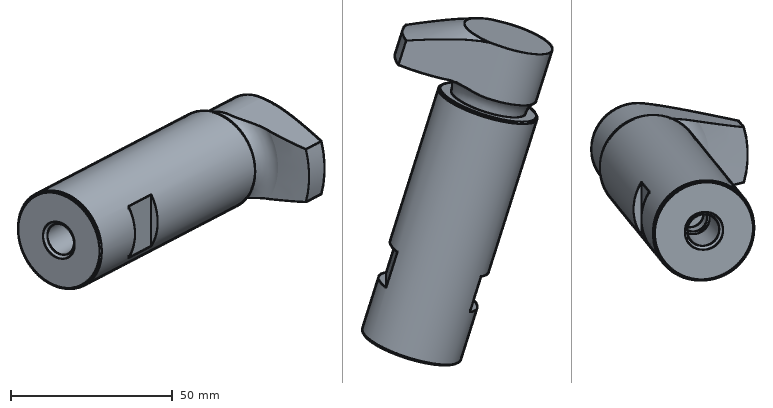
import cadquery as cq
import math

total_length = 104.0
shaft_radius = 16.0
shaft_length = 82.0
edge_chamfer = 0.5

flat_start = 18.0
flat_length = 12.0
flat_half_width = 13.5

countersink_diameter = 12.1
bore_diameter = 10.1
bore_depth = 15.6
pilot_diameter = 8.4
pilot_depth = 20.8

neck_radius = 12.1
cove_start = 82.4
cove_radius = 6.0
cove_center_radius = neck_radius + cove_radius
cove_end_radius = 20.0

hub_radius = 14.0
jaw_reach = 2 * shaft_radius
jaw_taper = math.radians(10)
bevel_inner_radius = 14.5
bevel_drop = 8.1

nose_low_radius = 28.1
nose_low = 87.6
nose_tip = 87.7


def cylinder(radius, start, end):
    """Solid cylinder on the Y axis between two Y positions."""
    plane = cq.Workplane("XZ", origin=(0, start, 0))
    return plane.circle(radius).extrude(start - end)


def revolve_on_shaft_axis(profile):
    """Full turn about Y of a closed profile drawn in the XY plane."""
    return profile.close().revolve(360, (0, 0, 0), (0, 1, 0))


def make_shaft():
    shaft = cylinder(shaft_radius, 0, shaft_length).edges().chamfer(edge_chamfer)
    flat_depth = shaft_radius - flat_half_width
    for side in (-1, 1):
        cutter = cq.Workplane("XY").box(flat_depth, flat_length, 2 * shaft_radius)
        x = side * (flat_half_width + flat_depth / 2)
        shaft = shaft.cut(cutter.translate((x, flat_start + flat_length / 2, 0)))
    return shaft


def make_hole():
    rim = countersink_diameter / 2
    bore = bore_diameter / 2
    pilot = pilot_diameter / 2
    profile = (
        cq.Workplane("XY")
        .lineTo(rim, 0)
        .lineTo(bore, rim - bore)
        .lineTo(bore, bore_depth)
        .lineTo(pilot, bore_depth)
        .lineTo(pilot, pilot_depth)
        .lineTo(0, pilot_depth)
    )
    return revolve_on_shaft_axis(profile)


def make_head_blank():
    """Hub and jaw outline, with the jaw sides tangent to the hub."""
    tangent_x = hub_radius * math.sin(jaw_taper)
    tangent_z = hub_radius * math.cos(jaw_taper)
    end_z = tangent_z - (jaw_reach - tangent_x) * math.tan(jaw_taper)
    blank = (
        cq.Workplane("XZ", origin=(0, total_length, 0))
        .moveTo(tangent_x, tangent_z)
        .lineTo(jaw_reach, end_z)
        .lineTo(jaw_reach, -end_z)
        .lineTo(tangent_x, -tangent_z)
        .threePointArc((-hub_radius, 0), (tangent_x, tangent_z))
        .close()
        .extrude(total_length - cove_start)
    )
    return blank.intersect(make_bevel_envelope())


def make_bevel_envelope():
    """Conical top bevel and round jaw tip, both centred on the shaft axis."""
    profile = (
        cq.Workplane("XY")
        .moveTo(0, cove_start)
        .lineTo(jaw_reach, cove_start)
        .lineTo(jaw_reach, total_length - bevel_drop)
        .lineTo(bevel_inner_radius, total_length)
        .lineTo(0, total_length)
    )
    return revolve_on_shaft_axis(profile)


def make_underside_cutter():
    """Space below the head: the cove around the neck, then the clamping face."""
    cove_top = cove_start + cove_radius
    cove_overrun = cove_end_radius - cove_center_radius
    cove_end = cove_start + math.sqrt(cove_radius**2 - cove_overrun**2)
    profile = (
        cq.Workplane("XY")
        .moveTo(neck_radius, shaft_length)
        .lineTo(neck_radius, cove_start)
        .threePointArc((cove_center_radius, cove_top), (cove_end_radius, cove_end))
        .threePointArc((nose_low_radius, nose_low), (jaw_reach, nose_tip))
        .lineTo(jaw_reach, shaft_length)
    )
    return revolve_on_shaft_axis(profile)


neck = cylinder(neck_radius, shaft_length, cove_start)
head = make_head_blank().cut(make_underside_cutter())
result = make_shaft().cut(make_hole()).union(neck).union(head)